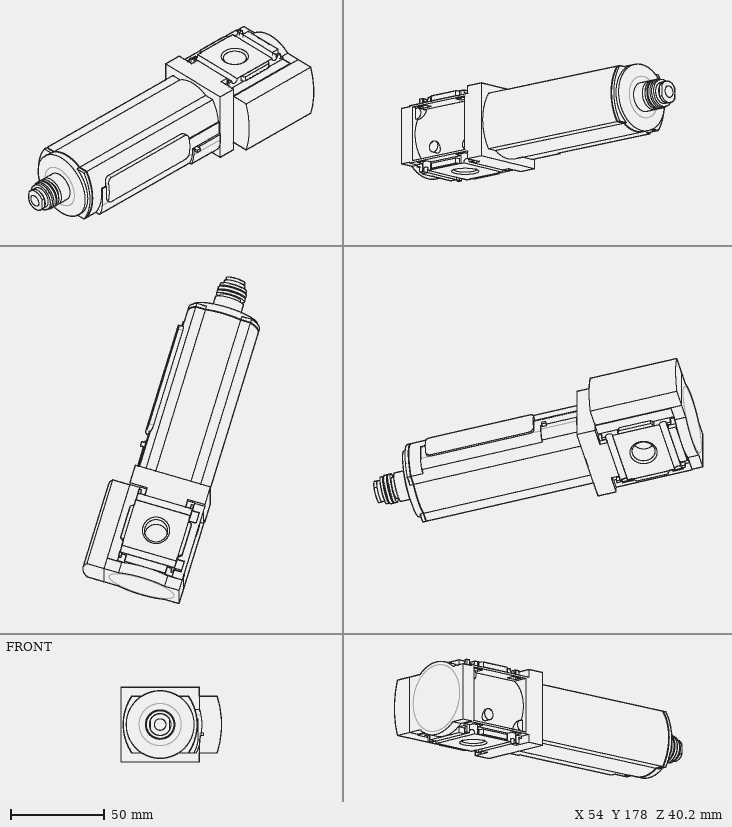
import cadquery as cq
import math


HEAD_HALF_WIDTH = 21.0
HEAD_HALF_HEIGHT = 20.1
WAIST_HALF_LENGTH = 21.15
LID_TOP_Y = 27.1
COLLAR_END_Y = -31.3
FLAT_HALF_HEIGHT = 15.3
STRIP_HALF_HEIGHT = 15.8
LID_RADIUS = 20.0
DOME_RADIUS = 18.2
DOME_HEIGHT = 1.7

COVER_FRONT_X = 33.0
COVER_SAG = 2.4

RECESS_HALF_LENGTH = 19.0
RECESS_HALF_HEIGHT = 14.75
CORE_RADIUS = 19.0
POST_DIAMETER = 6.1
POST_END_X = -18.5
POST_PLACES = [(5.9, -8.6), (18.3, 11.5), (-18.3, -11.0)]

PAD_HALF_WIDTH = 15.3
GROOVE_Y = 15.0
GROOVE_RADIUS = 1.9
GROOVE_DEPTH = 2.15
NOTCH_INNER_X = 11.4
NOTCH_INNER_Y = 17.0
NOTCH_FLOOR = 16.9
NOTCH_POST_WIDTH = 1.3
NOTCH_POST_LENGTH = 2.1
WINDOW_OUTER_X = -19.1
WINDOW_INNER_X = -15.1
WINDOW_INNER_Y = 11.0
RIDGE_HALF_LENGTH = 10.2
RIDGE_OVERHANG = 1.9
RIDGE_BOTTOM = 17.2
RIDGE_DROP = 0.15
RIDGE_TAPER = 1.4
PORT_DIAMETER = 12.3
PORT_MOUTH_DIAMETER = 14.6
PORT_CHAMFER_DEPTH = 1.0
PORT_DEPTH = 12.0

BOWL_RADIUS = 18.2
BOWL_HALF_WIDTH = 19.9
BOWL_CORNER_X = 15.3
GUARD_END_Y = -127.3
SEAM_Y = -125.2
SEAM_WIDTH = 0.3
SEAM_DEPTH = 0.2
BOWL_RIM_Y = -129.2
BOWL_END_Y = -130.6
BOWL_END_RADIUS = 11.3

GLASS_TOP_Y = -55.2
GLASS_END_Y = -115.3
GLASS_HALF_HEIGHT = 8.0
GLASS_EDGE_X = 21.2
GLASS_PEAK_X = 22.4
GLASS_END_ROUND = 2.8
GLASS_ROOT_X = 17.0
PLATE_END_Y = -118.5
PLATE_EDGE_X = 18.0
PLATE_PEAK_X = 20.3
PLATE_TOP_Z = 3.0
LATCH_END_Y = -51.3
LATCH_EDGE_X = 19.3
LATCH_PEAK_X = 21.4
LATCH_TOP_Z = -4.5
LATCH_ARCH = 0.5
PLATE_ROOT_X = 14.0
NUB_Y = -49.2
NUB_LENGTH = 2.4
NUB_TOP_X = 23.2
NUB_Z = -5.2
NUB_HEIGHT = 1.5

NIPPLE_DIAMETER = 15.8
SHANK_END_Y = -137.0
NECK_DIAMETER = 11.6
BARBS = [(-138.9, -140.3, 15.8), (-141.0, -142.6, 15.8), (-143.3, -144.8, 14.8)]
TIP_START_Y = -147.0
TIP_DIAMETER = 11.8
TIP_HALF_WIDTH = 5.1
TIP_RIM_Y = -148.7
NIPPLE_END_Y = -149.21
DRAIN_DIAMETER = 6.2
DRAIN_DEPTH = 10.0


def box(x_range, y_range, z_range):
    """Box between the given limits along X, Y and Z."""
    (x0, x1), (y0, y1), (z0, z1) = x_range, y_range, z_range
    block = cq.Workplane("XY").box(x1 - x0, y1 - y0, z1 - z0, centered=False)
    return block.translate((x0, y0, z0))


def symmetric(half_size):
    """Limits that lie the same distance on both sides of zero."""
    return (-half_size, half_size)


def section(y_start):
    """Workplane across the long axis; a positive extrusion runs toward -Y."""
    return cq.Workplane("XZ", origin=(0, y_start, 0))


def rod(radius, y_start, y_end):
    """Round bar on the long axis."""
    return section(y_start).circle(radius).extrude(y_start - y_end)


def turned(profile):
    """Solid of revolution about the long axis from a closed (radius, y) profile."""
    return profile.close().revolve(360, (0, 0, 0), (0, 1, 0))


def head_blank():
    waist = box(
        symmetric(HEAD_HALF_WIDTH), symmetric(WAIST_HALF_LENGTH), symmetric(STRIP_HALF_HEIGHT)
    )
    collar = box(
        symmetric(HEAD_HALF_WIDTH), (COLLAR_END_Y, -WAIST_HALF_LENGTH), symmetric(HEAD_HALF_HEIGHT)
    )
    pads = box(
        symmetric(PAD_HALF_WIDTH), symmetric(WAIST_HALF_LENGTH), symmetric(HEAD_HALF_HEIGHT)
    )
    lid = box(
        symmetric(HEAD_HALF_WIDTH), (WAIST_HALF_LENGTH, LID_TOP_Y), symmetric(FLAT_HALF_HEIGHT)
    )
    round_lid = rod(LID_RADIUS, LID_TOP_Y, WAIST_HALF_LENGTH)
    return waist.union(collar).union(pads).union(lid).union(round_lid)


def dome():
    sphere_radius = (DOME_RADIUS**2 + DOME_HEIGHT**2) / (2 * DOME_HEIGHT)
    middle_radius = DOME_RADIUS / 2
    sphere_center_y = LID_TOP_Y + DOME_HEIGHT - sphere_radius
    middle_y = sphere_center_y + math.sqrt(sphere_radius**2 - middle_radius**2)
    profile = (
        cq.Workplane("XY")
        .moveTo(0, WAIST_HALF_LENGTH)
        .lineTo(DOME_RADIUS, WAIST_HALF_LENGTH)
        .lineTo(DOME_RADIUS, LID_TOP_Y)
        .threePointArc((middle_radius, middle_y), (0, LID_TOP_Y + DOME_HEIGHT))
    )
    return turned(profile)


def back_recess():
    """Room between the recess opening and the round core, less the posts standing in it."""
    core_edge_x = -math.sqrt(CORE_RADIUS**2 - RECESS_HALF_HEIGHT**2)
    room = box(
        (-HEAD_HALF_WIDTH, core_edge_x),
        symmetric(RECESS_HALF_LENGTH),
        symmetric(RECESS_HALF_HEIGHT),
    )
    room = room.cut(rod(CORE_RADIUS, RECESS_HALF_LENGTH, -RECESS_HALF_LENGTH))
    posts = (
        cq.Workplane("YZ", origin=(POST_END_X, 0, 0))
        .pushPoints(POST_PLACES)
        .circle(POST_DIAMETER / 2)
        .extrude(-POST_END_X)
    )
    return room.cut(posts)


def pad_groove():
    """Round groove along X near the +Y end of the pad."""
    center_z = HEAD_HALF_HEIGHT - GROOVE_DEPTH + GROOVE_RADIUS
    return (
        cq.Workplane("YZ", origin=(-PAD_HALF_WIDTH, 0, 0))
        .center(GROOVE_Y, center_z)
        .circle(GROOVE_RADIUS)
        .extrude(2 * PAD_HALF_WIDTH)
    )


def corner_notch():
    """Notch in the pad corner at +X, +Y, with a small post left in its inner corner."""
    above = HEAD_HALF_HEIGHT + 1
    notch = box(
        (NOTCH_INNER_X, PAD_HALF_WIDTH), (NOTCH_INNER_Y, WAIST_HALF_LENGTH), (NOTCH_FLOOR, above)
    )
    post = box(
        (PAD_HALF_WIDTH - NOTCH_POST_WIDTH, PAD_HALF_WIDTH),
        (NOTCH_INNER_Y, NOTCH_INNER_Y + NOTCH_POST_LENGTH),
        (NOTCH_FLOOR, above),
    )
    return notch.cut(post)


def strip_window():
    """Window at +Y through the -X strip into the recess, trimming the pad edge beside it."""
    return box(
        (WINDOW_OUTER_X, WINDOW_INNER_X),
        (WINDOW_INNER_Y, NOTCH_INNER_Y),
        (RECESS_HALF_HEIGHT, HEAD_HALF_HEIGHT),
    )


def side_ridge():
    """Overhanging ridge on the +X side of a pad."""
    tip_half_length = RIDGE_HALF_LENGTH - RIDGE_TAPER
    outer_x = PAD_HALF_WIDTH + RIDGE_OVERHANG
    return (
        cq.Workplane("XY", origin=(0, 0, RIDGE_BOTTOM))
        .polyline([
            (PAD_HALF_WIDTH, -RIDGE_HALF_LENGTH),
            (outer_x, -tip_half_length),
            (outer_x, tip_half_length),
            (PAD_HALF_WIDTH, RIDGE_HALF_LENGTH),
        ])
        .close()
        .extrude(HEAD_HALF_HEIGHT - RIDGE_DROP - RIDGE_BOTTOM)
    )


def port():
    """Blind port with a conical mouth, entered from +Z."""
    bore_radius = PORT_DIAMETER / 2
    profile = [
        (0, HEAD_HALF_HEIGHT),
        (PORT_MOUTH_DIAMETER / 2, HEAD_HALF_HEIGHT),
        (bore_radius, HEAD_HALF_HEIGHT - PORT_CHAMFER_DEPTH),
        (bore_radius, HEAD_HALF_HEIGHT - PORT_DEPTH),
        (0, HEAD_HALF_HEIGHT - PORT_DEPTH),
    ]
    return cq.Workplane("XZ").polyline(profile).close().revolve(360, (0, 0, 0), (0, 1, 0))


def build_head():
    body = head_blank().union(dome())

    ridge = side_ridge()
    for top_ridge in (ridge, ridge.mirror("YZ")):
        body = body.union(top_ridge).union(top_ridge.mirror("XY"))

    notch = corner_notch()
    end_cuts = [pad_groove(), strip_window(), notch, notch.mirror("YZ")]
    top_cuts = [port()]
    for end_cut in end_cuts:
        top_cuts += [end_cut, end_cut.mirror("XZ")]
    for top_cut in top_cuts:
        body = body.cut(top_cut).cut(top_cut.mirror("XY"))
    return body.cut(back_recess())


def bowl_guard(inset=0.0):
    """Bar with two flats and two arched sides, its outline drawn in by the inset."""
    flat_z = FLAT_HALF_HEIGHT - inset
    peak_x = BOWL_HALF_WIDTH - inset
    corner_x = BOWL_CORNER_X - inset
    return (
        section(COLLAR_END_Y)
        .moveTo(-corner_x, flat_z)
        .lineTo(corner_x, flat_z)
        .threePointArc((peak_x, 0), (corner_x, -flat_z))
        .lineTo(-corner_x, -flat_z)
        .threePointArc((-peak_x, 0), (-corner_x, flat_z))
        .close()
        .extrude(COLLAR_END_Y - GUARD_END_Y)
    )


def bowl_tube():
    """Round tube closed by a shallow cone."""
    profile = cq.Workplane("XY").polyline([
        (0, COLLAR_END_Y),
        (BOWL_RADIUS, COLLAR_END_Y),
        (BOWL_RADIUS, BOWL_RIM_Y),
        (BOWL_END_RADIUS, BOWL_END_Y),
        (0, BOWL_END_Y),
    ])
    return turned(profile)


def seam_groove():
    """Ring that cuts a thin groove all round the bowl."""
    ring = rod(2 * BOWL_HALF_WIDTH, SEAM_Y, SEAM_Y - SEAM_WIDTH)
    for core in (bowl_guard(SEAM_DEPTH), rod(BOWL_RADIUS - SEAM_DEPTH, COLLAR_END_Y, BOWL_RIM_Y)):
        ring = ring.cut(core)
    return ring


def sight_glass():
    """Raised glass with an arched face and rounded ends."""
    glass = (
        section(GLASS_TOP_Y)
        .moveTo(GLASS_ROOT_X, -GLASS_HALF_HEIGHT)
        .lineTo(GLASS_EDGE_X, -GLASS_HALF_HEIGHT)
        .threePointArc((GLASS_PEAK_X, 0), (GLASS_EDGE_X, GLASS_HALF_HEIGHT))
        .lineTo(GLASS_ROOT_X, GLASS_HALF_HEIGHT)
        .close()
        .extrude(GLASS_TOP_Y - GLASS_END_Y)
    )
    return glass.edges("|X").fillet(GLASS_END_ROUND)


def side_plate(edge_x, peak_x, top_z, y_end):
    """Plate on the side of the bowl, arched below the sight glass and upright above that."""
    middle = ((edge_x + peak_x) / 2 + LATCH_ARCH, -(FLAT_HALF_HEIGHT + GLASS_HALF_HEIGHT) / 2)
    return (
        section(COLLAR_END_Y)
        .moveTo(PLATE_ROOT_X, -FLAT_HALF_HEIGHT)
        .lineTo(edge_x, -FLAT_HALF_HEIGHT)
        .threePointArc(middle, (peak_x, -GLASS_HALF_HEIGHT))
        .lineTo(peak_x, top_z)
        .lineTo(PLATE_ROOT_X, top_z)
        .close()
        .extrude(COLLAR_END_Y - y_end)
    )


def latch_nub():
    return box(
        (PLATE_PEAK_X, NUB_TOP_X),
        (NUB_Y - NUB_LENGTH / 2, NUB_Y + NUB_LENGTH / 2),
        (NUB_Z - NUB_HEIGHT / 2, NUB_Z + NUB_HEIGHT / 2),
    )


def drain_nipple():
    """Shank, barbed neck and flattened tip on the end of the bowl."""
    tip_radius = TIP_DIAMETER / 2
    nipple = rod(NIPPLE_DIAMETER / 2, BOWL_END_Y, SHANK_END_Y)
    nipple = nipple.union(rod(NECK_DIAMETER / 2, SHANK_END_Y, TIP_START_Y))
    for y_start, y_end, diameter in BARBS:
        nipple = nipple.union(rod(diameter / 2, y_start, y_end))
    tip_profile = cq.Workplane("XY").polyline([
        (0, TIP_START_Y),
        (tip_radius, TIP_START_Y),
        (tip_radius, TIP_RIM_Y),
        (DRAIN_DIAMETER / 2, NIPPLE_END_Y),
        (0, NIPPLE_END_Y),
    ])
    tip_limits = box(symmetric(TIP_HALF_WIDTH), (NIPPLE_END_Y, TIP_START_Y), symmetric(tip_radius))
    return nipple.union(turned(tip_profile).intersect(tip_limits))


def build_bowl():
    body = bowl_guard().union(bowl_tube()).cut(seam_groove())
    body = body.union(side_plate(PLATE_EDGE_X, PLATE_PEAK_X, PLATE_TOP_Z, PLATE_END_Y))
    body = body.union(side_plate(LATCH_EDGE_X, LATCH_PEAK_X, LATCH_TOP_Z, LATCH_END_Y))
    body = body.union(latch_nub()).union(sight_glass()).union(drain_nipple())
    return body.cut(rod(DRAIN_DIAMETER / 2, NIPPLE_END_Y + DRAIN_DEPTH, NIPPLE_END_Y))


def build_cover():
    """Block with an arched front, flush with the flats of the lid."""
    edge_x = COVER_FRONT_X - COVER_SAG
    return (
        section(LID_TOP_Y)
        .moveTo(HEAD_HALF_WIDTH, -FLAT_HALF_HEIGHT)
        .lineTo(edge_x, -FLAT_HALF_HEIGHT)
        .threePointArc((COVER_FRONT_X, 0), (edge_x, FLAT_HALF_HEIGHT))
        .lineTo(HEAD_HALF_WIDTH, FLAT_HALF_HEIGHT)
        .close()
        .extrude(LID_TOP_Y + WAIST_HALF_LENGTH)
    )


housing = build_head().union(build_bowl())
cover = build_cover()

result = cq.Compound.makeCompound([housing.val(), cover.val()])